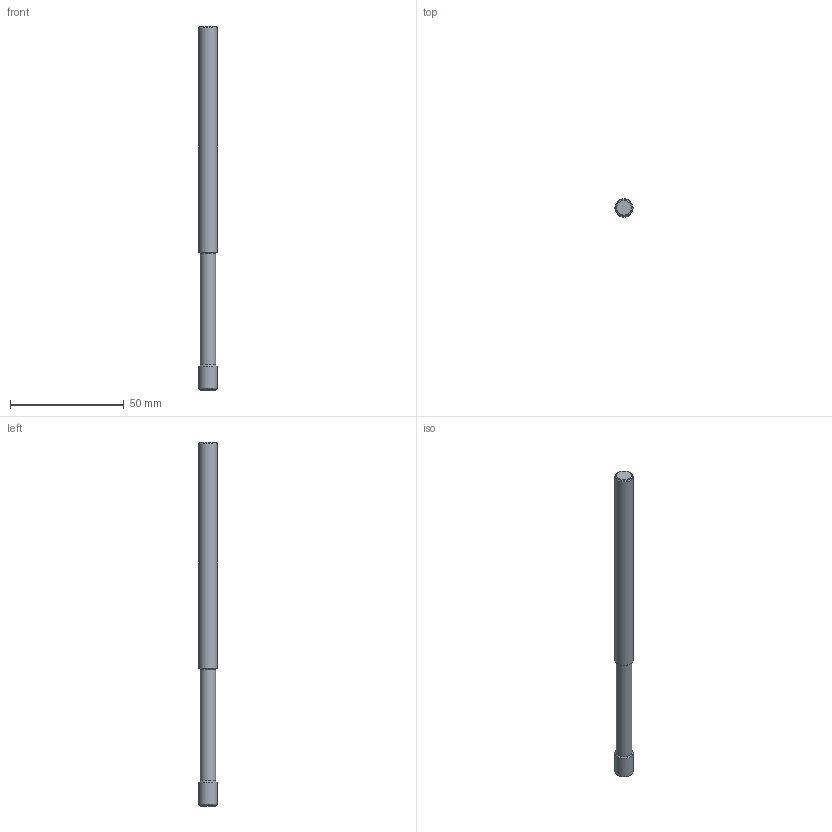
import cadquery as cq

overall_length = 160.0
shank_length = 100.0
head_length = 11.0
large_diameter = 8.0
neck_diameter = 7.0

end_relief_depth = 0.75
end_relief_length = 0.7
relief_middle = 0.3

large_radius = large_diameter / 2
neck_radius = neck_diameter / 2
shank_start = overall_length - shank_length

shoulder_length = large_radius - neck_radius


def end_relief(end_z, inward):
    """Section points of one relieved end, from the end face to the side.

    inward is +1 or -1, the Z direction from the end face into the rod.
    """
    return [
        (large_radius - end_relief_depth, end_z),
        (large_radius - relief_middle, end_z + inward * relief_middle),
        (large_radius, end_z + inward * end_relief_length),
    ]


def neck_section():
    """Section points of the neck and its two shoulders, from the head to the shank."""
    return [
        (large_radius, head_length - shoulder_length),
        (neck_radius, head_length),
        (neck_radius, shank_start),
        (large_radius, shank_start + shoulder_length),
    ]


def make_rod():
    """Turn the half section about the Z axis."""
    head_end = end_relief(0, 1)
    shank_end = end_relief(overall_length, -1)
    shank_end.reverse()
    section = [(0, 0)] + head_end + neck_section() + shank_end + [(0, overall_length)]
    return cq.Workplane("XZ").polyline(section).close().revolve(360, (0, 0, 0), (0, 1, 0))


result = make_rod()